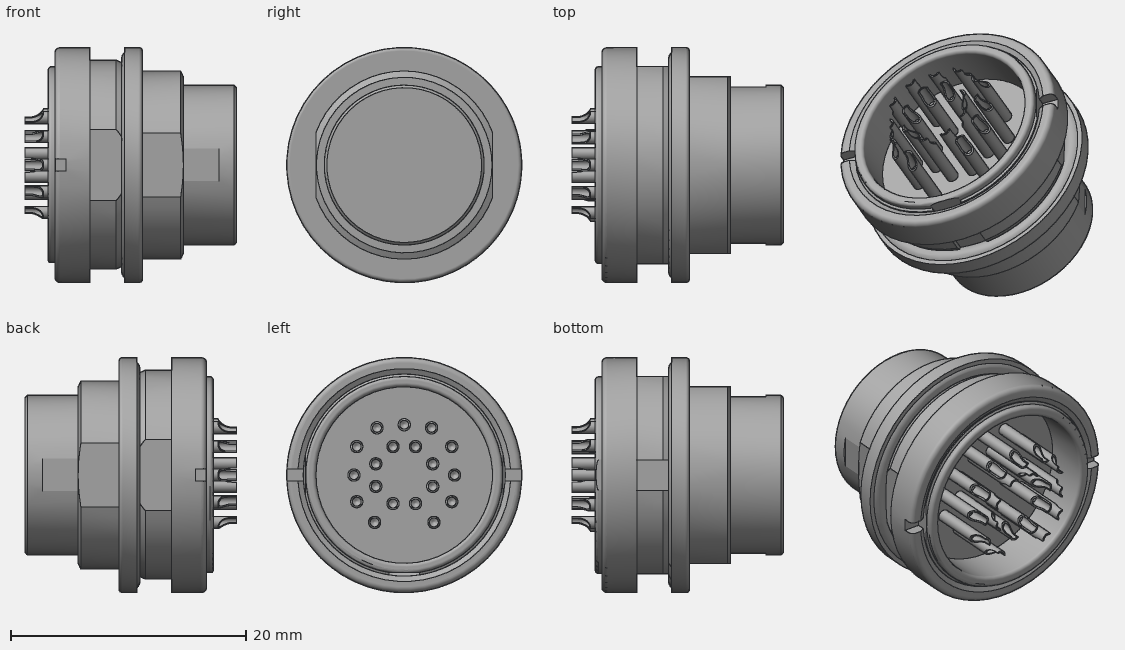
import cadquery as cq
import math


rear_end_x = 1.98
nut_rear_x = 2.55
thread_start_x = 2.68
nut_front_x = 5.52
collar_front_x = 8.2
flange_rear_x = 8.48
flange_front_x = 10.0
neck_front_x = 13.5
key_flat_end_x = 16.5
plug_end_x = 18.0

bore_r = 15.0 / 2
sleeve_r = 16.75 / 2
thread_r = 17.18 / 2
collar_r = 17.85 / 2
seal_inner_r = 16.6 / 2
seal_outer_r = 19.2 / 2
flange_r = 20.0 / 2
neck_r = 16.0 / 2
plug_r = 13.6 / 2

rim_outer_round = 0.3
rim_inner_round = 0.32
thread_lead_length = 0.1
collar_chamfer_length = 0.45
collar_chamfer_depth = 0.18
collar_end_r = collar_r - collar_chamfer_depth
flange_round = 0.3
neck_chamfer_length = 0.25
neck_chamfer_depth = 0.55
plug_chamfer = 0.22

collar_flat_width = 16.8
neck_flat_width = 15.05
plug_flat_width = 13.32
keyway_width = 2.6
keyway_floor_z = -8.28

insert_face_x = 6.0

nut_r = flange_r
nut_round = 0.45
nut_mouth_r = 18.1 / 2
nut_mouth_angle = 120
nut_slot_width = 1.05
nut_slot_end_x = 3.48

contact_r = 1.05 / 2
cup_hole_r = 0.75 / 2
cup_hole_depth = 2.0
cup_cone_depth = cup_hole_r * math.tan(math.radians(30))
cup_flat_length = 0.4
cup_floor_offset = -0.2
cup_cut_length = 1.6
inner_near = 0.95
inner_far = 2.42
outer_places = [
    (0, 4.28),
    (2.32, 4.02), (-2.32, 4.02),
    (4.05, 2.42), (-4.05, 2.42),
    (4.28, 0), (-4.28, 0),
    (4.05, -2.25), (-4.05, -2.25),
    (2.52, -4.02), (-2.52, -4.02),
]


def block(x_range, y_range, z_range):
    """Box between the given limits along each axis."""
    x0, x1 = x_range
    y0, y1 = y_range
    z0, z1 = z_range
    return cq.Workplane("XY").box(x1 - x0, y1 - y0, z1 - z0, centered=False).translate((x0, y0, z0))


def turned(profile):
    """Revolve a closed (x, radius) profile about the X axis."""
    return profile.close().revolve(360, (0, 0, 0), (1, 0, 0))


def cut_side_flats(body, x_start, x_end, across):
    """Remove the material outside two flats facing +Y and -Y."""
    reach = 2 * flange_r
    for y_range in ((across / 2, reach), (-reach, -across / 2)):
        body = body.cut(block((x_start, x_end), y_range, (-reach, reach)))
    return body


def housing_shell():
    """Turned shell with sleeve, thread, collar, flange, neck and plug."""
    profile = (
        cq.Workplane("XY")
        .moveTo(insert_face_x, 0)
        .lineTo(insert_face_x, bore_r)
        .lineTo(rear_end_x + rim_inner_round, bore_r)
        .radiusArc((rear_end_x, bore_r + rim_inner_round), rim_inner_round)
        .lineTo(rear_end_x, sleeve_r - rim_outer_round)
        .radiusArc((rear_end_x + rim_outer_round, sleeve_r), rim_outer_round)
        .lineTo(thread_start_x - thread_lead_length, sleeve_r)
        .lineTo(thread_start_x, thread_r)
        .lineTo(nut_front_x, thread_r)
        .lineTo(nut_front_x, collar_r)
        .lineTo(collar_front_x - collar_chamfer_length, collar_r)
        .lineTo(collar_front_x, collar_end_r)
        .lineTo(flange_rear_x, collar_end_r)
        .lineTo(flange_rear_x, flange_r)
        .lineTo(flange_front_x - flange_round, flange_r)
        .radiusArc((flange_front_x, flange_r - flange_round), flange_round)
        .lineTo(flange_front_x, neck_r)
        .lineTo(neck_front_x - neck_chamfer_length, neck_r)
        .lineTo(neck_front_x, neck_r - neck_chamfer_depth)
        .lineTo(neck_front_x, plug_r)
        .lineTo(plug_end_x - plug_chamfer, plug_r)
        .lineTo(plug_end_x, plug_r - plug_chamfer)
        .lineTo(plug_end_x, 0)
    )
    shell = turned(profile)
    shell = cut_side_flats(shell, thread_start_x - thread_lead_length, flange_rear_x, collar_flat_width)
    shell = cut_side_flats(shell, flange_front_x, neck_front_x, neck_flat_width)
    shell = cut_side_flats(shell, neck_front_x, key_flat_end_x, plug_flat_width)
    keyway = block(
        (rear_end_x, flange_rear_x),
        (-keyway_width / 2, keyway_width / 2),
        (-flange_r, keyway_floor_z),
    )
    return shell.cut(keyway)


def seal_bead():
    """Rounded ring raised on the rear face of the flange."""
    return turned(
        cq.Workplane("XY")
        .moveTo(flange_rear_x, seal_inner_r)
        .threePointArc((collar_front_x, (seal_inner_r + seal_outer_r) / 2), (flange_rear_x, seal_outer_r))
    )


def contact(y, z, open_angle):
    """Solder-cup contact at (y, z); open_angle turns the cup opening from +Z towards -Y."""
    pin = cq.Workplane("YZ").circle(contact_r).extrude(insert_face_x)
    hole = turned(
        cq.Workplane("XY")
        .moveTo(0, 0)
        .lineTo(0, cup_hole_r)
        .lineTo(cup_hole_depth, cup_hole_r)
        .lineTo(cup_hole_depth + cup_cone_depth, 0)
    )
    run = cup_cut_length - cup_flat_length
    rise = contact_r - cup_floor_offset
    sweep_r = (run**2 + rise**2) / (2 * rise)
    opening = (
        cq.Workplane("XZ")
        .moveTo(0, cup_floor_offset)
        .lineTo(cup_flat_length, cup_floor_offset)
        .radiusArc((cup_cut_length, contact_r), -sweep_r)
        .lineTo(0, contact_r)
        .close()
        .extrude(contact_r, both=True)
    )
    pin = pin.cut(hole).cut(opening)
    return pin.rotate((0, 0, 0), (1, 0, 0), open_angle).translate((0, y, z))


def angle_from_top(y, z):
    """Direction of the point (y, z) from the X axis, in degrees from +Z towards -Y."""
    return math.degrees(math.atan2(-y, z))


def make_housing():
    """Shell with its seal bead and contacts; outer cups open outwards, inner cups open inwards."""
    body = housing_shell().union(seal_bead())
    for y, z in outer_places:
        body = body.union(contact(y, z, angle_from_top(y, z)))
    for y_side in (-1, 1):
        for z_side in (-1, 1):
            for y_size, z_size in ((inner_near, inner_far), (inner_far, inner_near)):
                y = y_side * y_size
                z = z_side * z_size
                body = body.union(contact(y, z, angle_from_top(y, z) + 180))
    return body


def make_ring_nut():
    """Round nut with a countersunk mouth and a screwdriver slot on the +Y and -Y sides."""
    mouth_depth = (nut_mouth_r - thread_r) / math.tan(math.radians(nut_mouth_angle / 2))
    nut = turned(
        cq.Workplane("XY")
        .moveTo(nut_rear_x, nut_mouth_r)
        .lineTo(nut_rear_x, nut_r)
        .lineTo(nut_front_x, nut_r)
        .lineTo(nut_front_x, thread_r)
        .lineTo(nut_rear_x + mouth_depth, thread_r)
    )
    nut = nut.faces("<X").edges(cq.selectors.RadiusNthSelector(-1)).fillet(nut_round)
    slot = block(
        (nut_rear_x, nut_slot_end_x),
        (-nut_r, nut_r),
        (-nut_slot_width / 2, nut_slot_width / 2),
    )
    return nut.cut(slot)


housing = make_housing()
ring_nut = make_ring_nut()

result = cq.Compound.makeCompound([housing.val(), ring_nut.val()])